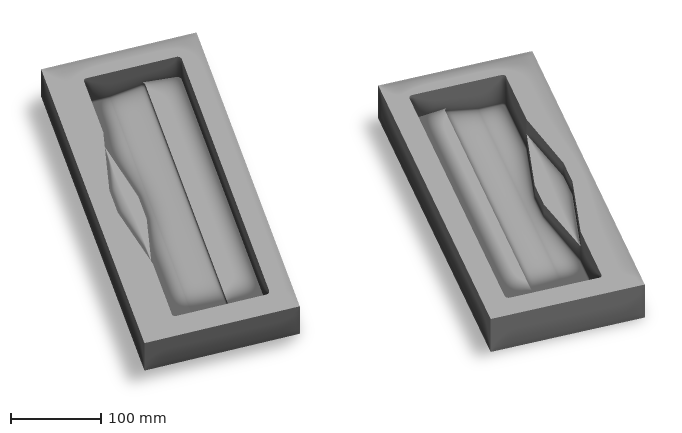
import cadquery as cq

LENGTH = 400.0
WIDTH = 180.0
HEIGHT = 50.0

RIM = 26.5
FRONT_Y = -49.0
REAR_Y = WIDTH / 2 - RIM
HALF_OPENING = LENGTH / 2 - RIM
REAR_CORNER_RADIUS = 5.0

SHELF_FRONT_Y = 21.5
SHELF_FRONT_Z = 18.0
SHELF_REAR_Z = 13.0
SHELF_SLOPE = (SHELF_FRONT_Z - SHELF_REAR_Z) / (REAR_Y - SHELF_FRONT_Y)

RAMP_REAR_Z = 13.0
RAMP_FRONT_Y = -18.5
FLOOR_Z = 5.0
TROUGH_CORNER_RADIUS = 3.5
FLOOR_FILLET = 2.0
CREASE_MARGIN = 0.5

LEDGE_HALF_LENGTH = 96.0
LEDGE_HALF_FLAT = 16.0
LEDGE_HALF_WIDTH = 17.0
LEDGE_INNER_Z = 25.5

MID_BASIN_Y = 0.0


def extrude_across(profile, half_length):
    """Extrude a list of (Y, Z) points equally to both sides of X = 0."""
    return cq.Workplane("YZ").polyline(profile).close().extrude(half_length, both=True)


def ledge_prism():
    """Six-sided upright prism over the full block height."""
    outline = [
        (-LEDGE_HALF_LENGTH, FRONT_Y),
        (-LEDGE_HALF_FLAT, FRONT_Y - LEDGE_HALF_WIDTH),
        (LEDGE_HALF_FLAT, FRONT_Y - LEDGE_HALF_WIDTH),
        (LEDGE_HALF_LENGTH, FRONT_Y),
        (LEDGE_HALF_FLAT, FRONT_Y + LEDGE_HALF_WIDTH),
        (-LEDGE_HALF_FLAT, FRONT_Y + LEDGE_HALF_WIDTH),
    ]
    return cq.Workplane("XY").polyline(outline).close().extrude(HEIGHT)


def shelf_cut():
    """Space above the rear shelf, reaching forwards into the trough."""
    front_z = SHELF_FRONT_Z + SHELF_SLOPE * (SHELF_FRONT_Y - MID_BASIN_Y)
    profile = [
        (MID_BASIN_Y, front_z),
        (REAR_Y, SHELF_REAR_Z),
        (REAR_Y, HEIGHT),
        (MID_BASIN_Y, HEIGHT),
    ]
    space = extrude_across(profile, HALF_OPENING)
    return space.edges("|Z and >Y").fillet(REAR_CORNER_RADIUS)


def trough_cut():
    """Space of the trough, rounded at its corners and along its floor."""
    profile = [
        (FRONT_Y, HEIGHT),
        (FRONT_Y, FLOOR_Z),
        (RAMP_FRONT_Y, FLOOR_Z),
        (SHELF_FRONT_Y, RAMP_REAR_Z),
        (SHELF_FRONT_Y, HEIGHT),
    ]
    space = extrude_across(profile, HALF_OPENING)
    space = space.edges("|Z and (>Y or <Y)").fillet(TROUGH_CORNER_RADIUS)
    space = space.cut(ledge_prism())
    crease = cq.selectors.BoxSelector(
        (-LENGTH, RAMP_FRONT_Y - CREASE_MARGIN, FLOOR_Z - CREASE_MARGIN),
        (LENGTH, RAMP_FRONT_Y + CREASE_MARGIN, FLOOR_Z + CREASE_MARGIN),
    )
    lower_edges = cq.selectors.StringSyntaxSelector("not(|Z or >Z)") - crease
    return space.edges(lower_edges).fillet(FLOOR_FILLET)


def ledge_cut():
    """Space above the sloping ledge, which has the same slope as the shelf."""
    inner_y = FRONT_Y + LEDGE_HALF_WIDTH
    outer_y = FRONT_Y - LEDGE_HALF_WIDTH
    outer_z = LEDGE_INNER_Z + SHELF_SLOPE * (inner_y - outer_y)
    profile = [
        (outer_y, outer_z),
        (inner_y, LEDGE_INNER_Z),
        (inner_y, HEIGHT),
        (outer_y, HEIGHT),
    ]
    return extrude_across(profile, LEDGE_HALF_LENGTH).intersect(ledge_prism())


block = cq.Workplane("XY").box(LENGTH, WIDTH, HEIGHT, centered=(True, True, False))
result = block.cut(trough_cut()).cut(shelf_cut()).cut(ledge_cut())